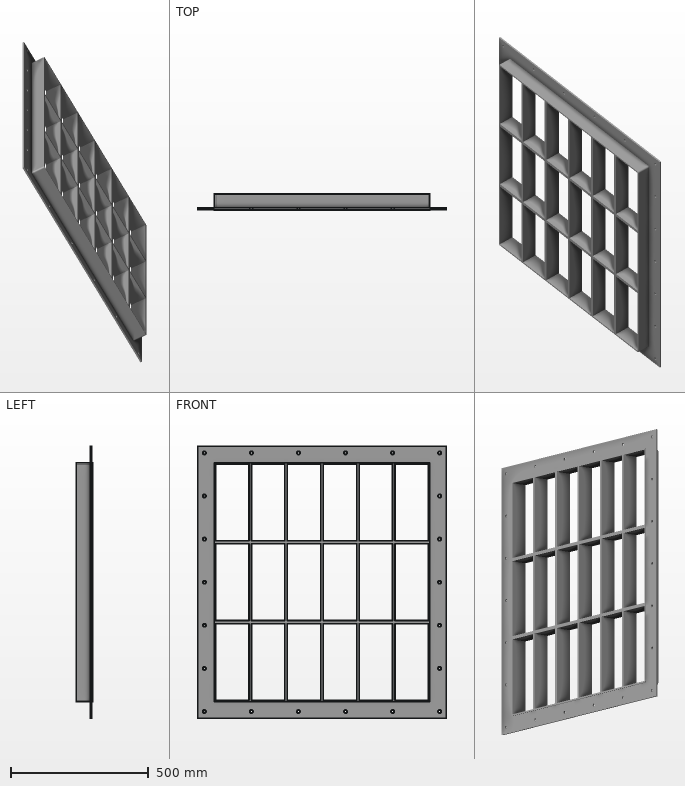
import cadquery as cq

flange_width = 905.0
flange_height = 990.0
flange_thickness = 6.0

hole_diameter = 10.5
hole_edge_distance = 25.0
holes_per_row = 6
holes_per_column = 7

flange_overhang = 60.0
tube_wall = 6.0
tube_depth = 60.0
tube_front_step = 3.0

openings_across = 6
openings_up = 3
upright_thickness = 10.0
crossbar_thickness = 12.0

tube_width = flange_width - 2 * flange_overhang
tube_height = flange_height - 2 * flange_overhang
inner_width = tube_width - 2 * tube_wall
inner_height = tube_height - 2 * tube_wall
tube_corner_radius = tube_wall
tube_front_y = -tube_depth / 2
flange_front_y = tube_front_y + tube_front_step


def block(width, height, front_y, depth, x=0.0, z=0.0):
    """Box centred at (x, z) that runs from front_y toward +Y."""
    return cq.Workplane("XY").box(width, depth, height).translate((x, front_y + depth / 2, z))


def spaced(count, span):
    """Evenly spaced positions, centred on zero, with the end ones span apart."""
    pitch = span / (count - 1)
    return [i * pitch - span / 2 for i in range(count)]


def bar_centres(openings, clear_span, bar_thickness):
    """Centres of the bars that split clear_span into equal openings."""
    pitch = (clear_span + bar_thickness) / openings
    return [i * pitch - (clear_span + bar_thickness) / 2 for i in range(1, openings)]


def hole_positions():
    """(x, z) of every bolt hole, with each corner hole listed once."""
    row_x = spaced(holes_per_row, flange_width - 2 * hole_edge_distance)
    column_z = spaced(holes_per_column, flange_height - 2 * hole_edge_distance)
    rows = [(x, z) for x in row_x for z in (column_z[0], column_z[-1])]
    columns = [(x, z) for x in (row_x[0], row_x[-1]) for z in column_z[1:-1]]
    return rows + columns


def bolt_holes():
    """Cylinders along Y that cut the holes through the flange."""
    return (
        cq.Workplane("XZ", origin=(0, flange_front_y, 0))
        .pushPoints(hole_positions())
        .circle(hole_diameter / 2)
        .extrude(-flange_thickness)
    )


def framed_flange():
    """Flange and tube joined, with the opening cut through both."""
    flange = block(flange_width, flange_height, flange_front_y, flange_thickness)
    tube = block(tube_width, tube_height, tube_front_y, tube_depth).edges("|Y").fillet(tube_corner_radius)
    opening = block(inner_width, inner_height, tube_front_y, tube_depth)
    return flange.union(tube).cut(opening)


def add_grid(body):
    """Join the uprights and crossbars, which run the full depth of the tube."""
    bar_height = inner_height + tube_wall
    bar_width = inner_width + tube_wall
    for x in bar_centres(openings_across, inner_width, upright_thickness):
        body = body.union(block(upright_thickness, bar_height, tube_front_y, tube_depth, x=x))
    for z in bar_centres(openings_up, inner_height, crossbar_thickness):
        body = body.union(block(bar_width, crossbar_thickness, tube_front_y, tube_depth, z=z))
    return body


result = add_grid(framed_flange().cut(bolt_holes())).clean()